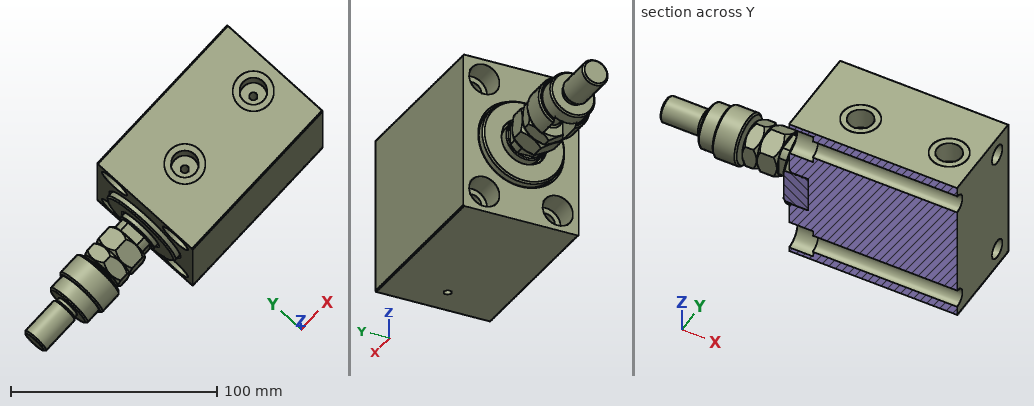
import cadquery as cq
import math

OVERLAP = 1.7

TOTAL_LENGTH = 172.0
BLOCK_LENGTH = 93.0
BLOCK_WIDTH = 63.0
BLOCK_HEIGHT = 85.0
BLOCK_EDGE_CHAMFER = 0.5
BLOCK_FRONT_X = TOTAL_LENGTH - BLOCK_LENGTH

BOLT_SPACING_Y = 40.0
BOLT_SPACING_Z = 63.0
BOLT_DIAMETER = 10.5
BOLT_HEAD_DIAMETER = 16.5
BOLT_HEAD_DEPTH = 13.0

FRONT_PORT_SETBACK = 28.5
FRONT_PORT_X = BLOCK_FRONT_X + FRONT_PORT_SETBACK
PORT_SPACING = 49.0
REAR_PORT_X = FRONT_PORT_X + PORT_SPACING
PORT_DIAMETER = 13.5
PORT_DEPTH = 12.0
SPOTFACE_DIAMETER = 20.0
SPOTFACE_DEPTH = 0.2
OIL_HOLE_DIAMETER = 4.0

GLAND_DIAMETER = 44.9
GLAND_PROTRUSION = 3.3
GLAND_CHAMFER = 0.9
GLAND_BORE_DEPTH = 10.3
GLAND_BORE_CHAMFER = 1.0
GLAND_RECESS_DIAMETER = 24.8
GLAND_RECESS_DEPTH = 3.1
GLAND_FRONT_X = BLOCK_FRONT_X - GLAND_PROTRUSION

ROD_DIAMETER = 22.0
ROD_CHAMFER = 0.7
ROD_SHOULDER_X = 72.8
ROD_END_X = FRONT_PORT_X + PORT_SPACING / 2
ROD_NECK_DIAMETER = 21.0
ROD_FLATS_WIDTH = 18.0

HEX_ACROSS_FLATS = 22.0
HEX_CHAMFER_DEPTH = 1.9
HEX_FACE_DIAMETER = 21.7
THIN_HEX_LENGTH = 8.3
THICK_HEX_LENGTH = 11.2
STUD_END_X = 67.3
THICK_HEX_X = STUD_END_X - THICK_HEX_LENGTH
THIN_HEX_X = THICK_HEX_X - THIN_HEX_LENGTH
NECK_DIAMETER = 10.7
NECK_CONE_DIAMETER = 12.7
NECK_CONE_LENGTH = 1.0

SPIGOT_DIAMETER = 14.0
SPIGOT_LENGTH = 21.2
SPIGOT_CHAMFER = 0.9
RELIEF_DIAMETER = 12.0
HUB_X = 23.9
HUB_DIAMETER = 24.5
HUB_CHAMFER = 0.9
SLEEVE_X = 32.7
SLEEVE_DIAMETER = 27.9
SLEEVE_CHAMFER = 0.9
COUPLING_END_X = 46.1
SLOT_X = 31.5
SLOT_WIDTH = 11.7


def rod_along_x(diameter, start_x, end_x):
    """Plain cylinder on the X axis."""
    return cq.Workplane("YZ", origin=(start_x, 0, 0)).circle(diameter / 2).extrude(end_x - start_x)


def cone_along_x(start_diameter, end_diameter, start_x, end_x):
    """Truncated cone on the X axis."""
    cone = cq.Solid.makeCone(
        start_diameter / 2,
        end_diameter / 2,
        end_x - start_x,
        cq.Vector(start_x, 0, 0),
        cq.Vector(1, 0, 0),
    )
    return cq.Workplane(obj=cone)


def hole_down(diameter, x, top_z, depth):
    """Vertical cutter for a hole that starts at top_z."""
    return cq.Workplane("XY", origin=(x, 0, top_z)).circle(diameter / 2).extrude(-depth)


def make_block_blank():
    blank = cq.Workplane("XY").box(BLOCK_LENGTH, BLOCK_WIDTH, BLOCK_HEIGHT)
    blank = blank.edges("|X").chamfer(BLOCK_EDGE_CHAMFER)
    return blank.translate((BLOCK_FRONT_X + BLOCK_LENGTH / 2, 0, 0))


def cut_bolt_holes(block):
    return (
        block.faces("<X")
        .workplane(centerOption="CenterOfBoundBox")
        .rect(BOLT_SPACING_Y, BOLT_SPACING_Z, forConstruction=True)
        .vertices()
        .cboreHole(BOLT_DIAMETER, BOLT_HEAD_DIAMETER, BOLT_HEAD_DEPTH)
    )


def cut_gland_and_rod_bores(block):
    bore_end_x = BLOCK_FRONT_X + GLAND_BORE_DEPTH
    mouth_diameter = GLAND_DIAMETER + 2 * GLAND_BORE_CHAMFER
    mouth_end_x = BLOCK_FRONT_X + GLAND_BORE_CHAMFER
    block = block.cut(rod_along_x(GLAND_DIAMETER, BLOCK_FRONT_X, bore_end_x))
    block = block.cut(cone_along_x(mouth_diameter, GLAND_DIAMETER, BLOCK_FRONT_X, mouth_end_x))
    return block.cut(rod_along_x(ROD_DIAMETER, BLOCK_FRONT_X, ROD_END_X))


def cut_ports(block):
    top_z = BLOCK_HEIGHT / 2
    for x, oil_hole_depth in ((FRONT_PORT_X, top_z), (REAR_PORT_X, BLOCK_HEIGHT)):
        block = block.cut(hole_down(SPOTFACE_DIAMETER, x, top_z, SPOTFACE_DEPTH))
        block = block.cut(hole_down(PORT_DIAMETER, x, top_z, PORT_DEPTH))
        block = block.cut(hole_down(OIL_HOLE_DIAMETER, x, top_z, oil_hole_depth))
    return block


def make_block():
    block = cut_bolt_holes(make_block_blank())
    block = cut_gland_and_rod_bores(block)
    return cut_ports(block)


def make_gland():
    gland = rod_along_x(GLAND_DIAMETER, GLAND_FRONT_X, BLOCK_FRONT_X + GLAND_BORE_DEPTH)
    gland = gland.faces("<X").chamfer(GLAND_CHAMFER)
    gland = gland.cut(rod_along_x(ROD_DIAMETER, GLAND_FRONT_X, BLOCK_FRONT_X + GLAND_BORE_DEPTH))
    recess_end_x = GLAND_FRONT_X + GLAND_RECESS_DEPTH
    return gland.cut(rod_along_x(GLAND_RECESS_DIAMETER, GLAND_FRONT_X, recess_end_x))


def make_piston_rod():
    rod = rod_along_x(ROD_DIAMETER, ROD_SHOULDER_X, ROD_END_X).faces("<X").chamfer(ROD_CHAMFER)
    neck_length = ROD_SHOULDER_X - STUD_END_X
    flats = (
        cq.Workplane("YZ", origin=(STUD_END_X, 0, 0))
        .rect(ROD_FLATS_WIDTH, ROD_FLATS_WIDTH)
        .extrude(neck_length)
    )
    neck = rod_along_x(ROD_NECK_DIAMETER, STUD_END_X, ROD_SHOULDER_X).intersect(flats)
    return rod.union(neck)


def make_hexagon(start_x, length):
    """Hexagon with corners up and down, its corners turned off conically at both ends."""
    corner_diameter = HEX_ACROSS_FLATS / math.cos(math.radians(30))
    prism = (
        cq.Workplane("YZ", origin=(start_x, 0, 0))
        .transformed(rotate=(0, 0, 90))
        .polygon(6, corner_diameter)
        .extrude(length)
    )
    corner_radius = corner_diameter / 2
    face_radius = HEX_FACE_DIAMETER / 2
    end_x = start_x + length
    turned = (
        cq.Workplane("XY")
        .moveTo(start_x, 0)
        .lineTo(start_x, face_radius)
        .lineTo(start_x + HEX_CHAMFER_DEPTH, corner_radius)
        .lineTo(end_x - HEX_CHAMFER_DEPTH, corner_radius)
        .lineTo(end_x, face_radius)
        .lineTo(end_x, 0)
        .close()
        .revolve(360, (0, 0, 0), (1, 0, 0))
    )
    return prism.intersect(turned)


def make_stud():
    cone_x = THIN_HEX_X - NECK_CONE_LENGTH
    stud = make_hexagon(THIN_HEX_X, THIN_HEX_LENGTH)
    stud = stud.union(make_hexagon(THICK_HEX_X, THICK_HEX_LENGTH))
    stud = stud.union(cone_along_x(NECK_DIAMETER, NECK_CONE_DIAMETER, cone_x, THIN_HEX_X))
    return stud.union(rod_along_x(NECK_DIAMETER, SLOT_X, cone_x))


def make_coupling():
    relief_cone_end_x = SPIGOT_LENGTH + (SPIGOT_DIAMETER - RELIEF_DIAMETER) / 2
    coupling = rod_along_x(SPIGOT_DIAMETER, 0, SPIGOT_LENGTH).faces("<X").chamfer(SPIGOT_CHAMFER)
    coupling = coupling.union(
        cone_along_x(SPIGOT_DIAMETER, RELIEF_DIAMETER, SPIGOT_LENGTH, relief_cone_end_x)
    )
    coupling = coupling.union(rod_along_x(RELIEF_DIAMETER, relief_cone_end_x, HUB_X))
    coupling = coupling.union(rod_along_x(HUB_DIAMETER, HUB_X, SLEEVE_X).faces("<X").chamfer(HUB_CHAMFER))
    sleeve = rod_along_x(SLEEVE_DIAMETER, SLEEVE_X, COUPLING_END_X)
    coupling = coupling.union(sleeve.faces("<X or >X").chamfer(SLEEVE_CHAMFER))
    slot_length = COUPLING_END_X - SLOT_X
    slot_height = SLEEVE_DIAMETER / 2 + OVERLAP
    slot_legs = cq.Workplane("XY").box(slot_length, SLOT_WIDTH, slot_height, centered=(False, True, False))
    slot = slot_legs.translate((SLOT_X, 0, -slot_height))
    slot = slot.union(rod_along_x(SLOT_WIDTH, SLOT_X, COUPLING_END_X))
    return coupling.cut(slot)


block = make_block()
gland = make_gland()
piston_rod = make_piston_rod()
stud = make_stud()
coupling = make_coupling()

result = cq.Compound.makeCompound(
    [block.val(), gland.val(), piston_rod.val(), stud.val(), coupling.val()]
)